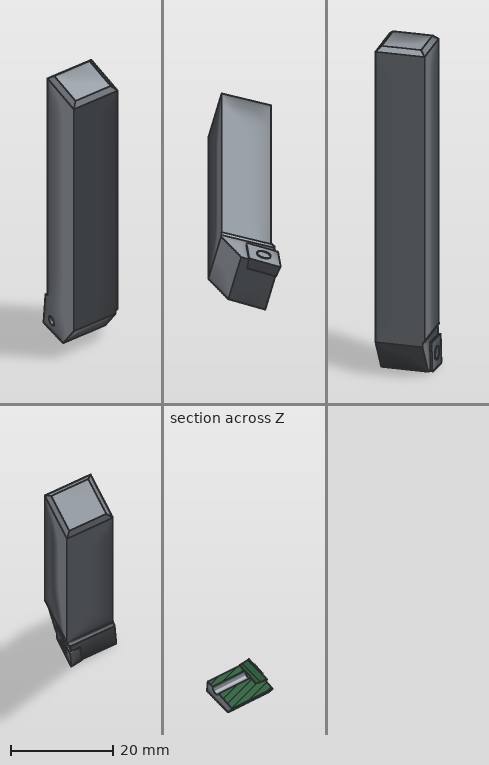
import cadquery as cq
import math

shank_side = 10.0
total_height = 70.0
end_chamfer = 1.0

lead_angle = math.radians(5)
shoulder_z = 8.75
shoulder_radius = 0.85
back_cut_top_z = 7.85
back_cut_angle = math.radians(31)
relief_depth = 0.4

insert_side = 6.45
insert_thickness = 2.4
clearance_angle = 7.0
nose_radius = 0.4
nose_overhang = 1.95
insert_proud = 0.4
boss_diameter = 2.8
boss_height = 0.15
screw_hole_diameter = 2.0

half_corner = math.pi / 4 - lead_angle
half_long_diagonal = insert_side * math.cos(half_corner)
half_short_diagonal = insert_side * math.sin(half_corner)
corner_setback = nose_radius / math.sin(half_corner) * math.sqrt(0.5)
corner_x = nose_radius - nose_overhang - corner_setback
corner_z = nose_radius - corner_setback
center_offset = half_long_diagonal * math.sqrt(0.5)
insert_x = corner_x + center_offset
insert_z = corner_z + center_offset
seat_y = shank_side - insert_thickness


def make_insert_plate():
    """Rhombus with its long diagonal at 45 degrees, corners rounded, tapered towards its seat."""
    outline = cq.Sketch().polygon([
        (-half_long_diagonal, 0),
        (0, -half_short_diagonal),
        (half_long_diagonal, 0),
        (0, half_short_diagonal),
        (-half_long_diagonal, 0),
    ]).vertices().fillet(nose_radius)
    plane = cq.Workplane("XZ", origin=(insert_x, shank_side, insert_z)).transformed(rotate=(0, 0, 45))
    return plane.placeSketch(outline).extrude(insert_thickness, taper=clearance_angle)


def make_insert():
    """Insert plate with a low round boss on its outer face."""
    boss = (
        cq.Workplane("XZ", origin=(insert_x, shank_side, insert_z))
        .circle(boss_diameter / 2)
        .extrude(-boss_height)
    )
    return make_insert_plate().union(boss)


def make_holder_blank():
    """Shank and head extruded from one XZ outline, with the free end chamfered."""
    slope = math.tan(lead_angle)
    setback = insert_proud / math.sin(half_corner) * math.sqrt(0.5)
    tip_x = corner_x + setback
    tip_z = corner_z + setback
    ledge_x = tip_x + (shoulder_z - tip_z) * slope
    cut_run = math.tan(back_cut_angle)
    drop = back_cut_top_z - tip_z - (shank_side - tip_x) * slope
    cut_depth = drop / (1 - cut_run * slope)
    heel_x = shank_side - cut_depth * cut_run
    heel_z = back_cut_top_z - cut_depth
    arc_reach = shoulder_radius * (1 - math.sqrt(0.5))
    outline = (
        cq.Workplane("XZ")
        .moveTo(0, total_height)
        .lineTo(0, shoulder_z + shoulder_radius)
        .threePointArc((-arc_reach, shoulder_z + arc_reach), (-shoulder_radius, shoulder_z))
        .lineTo(ledge_x, shoulder_z)
        .lineTo(tip_x, tip_z)
        .lineTo(heel_x, heel_z)
        .lineTo(shank_side, back_cut_top_z)
        .lineTo(shank_side, total_height)
        .close()
    )
    return outline.extrude(-shank_side).faces(">Z").chamfer(end_chamfer)


def make_head_relief():
    """Shallow step along the +Y side of the head, ending in a 45 degree slope at the shank."""
    return (
        cq.Workplane("YZ")
        .moveTo(shank_side, shoulder_z + relief_depth / 2)
        .lineTo(shank_side - relief_depth, shoulder_z - relief_depth / 2)
        .lineTo(shank_side - relief_depth, -shoulder_z)
        .lineTo(shank_side, -shoulder_z)
        .close()
        .extrude(shank_side, both=True)
    )


def make_screw_hole():
    """Round hole from the -Y side up to the insert's seat."""
    return (
        cq.Workplane("XZ", origin=(insert_x, 0, insert_z))
        .circle(screw_hole_diameter / 2)
        .extrude(-seat_y)
    )


def make_holder():
    """Holder with the head relief, the insert's pocket and the screw hole removed."""
    holder = make_holder_blank().cut(make_head_relief())
    return holder.cut(make_insert_plate()).cut(make_screw_hole())


holder = make_holder()
insert = make_insert()
result = cq.Compound.makeCompound([holder.val(), insert.val()])